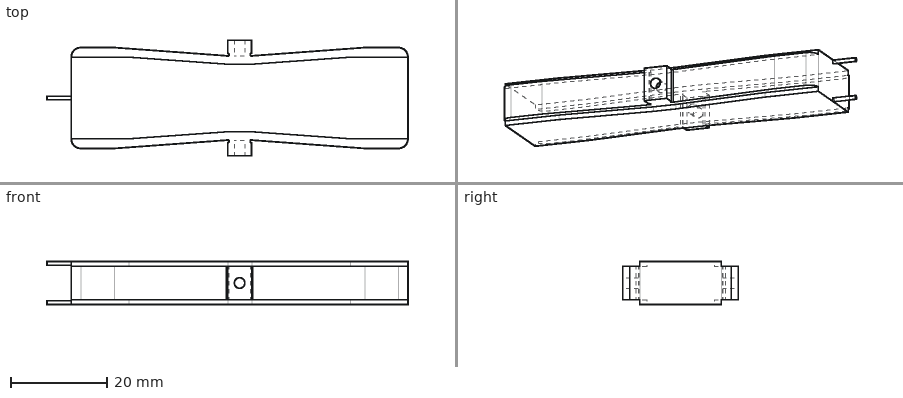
import cadquery as cq

total_length = 75.0
total_width = 24.0
total_height = 9.0

pin_length = 5.0
pin_diameter = 0.8

body_length = total_length - pin_length
body_width = 21.0
body_waist_width = 17.55
body_end_straight = 9.0
corner_radius = 2.0

plate_thickness = 1.0
plate_width = body_width - 2 * corner_radius
plate_waist_width = 14.0
plate_end_straight = 12.0
body_height = total_height - 2 * plate_thickness

lug_width = 5.0
lug_hole_diameter = 2.2
lug_hole_depth = (total_width - body_waist_width) / 2
relief_radius = 0.3
relief_center_y = body_waist_width / 2 + 0.2


def waisted_block(width, waist_width, end_straight, height):
    """Block centered on the origin, tapering to a flat waist as long as the lugs."""
    end_x = body_length / 2
    taper_x = end_x - end_straight
    waist_x = lug_width / 2
    upper_edge = [
        (-end_x, width / 2),
        (-taper_x, width / 2),
        (-waist_x, waist_width / 2),
        (waist_x, waist_width / 2),
        (taper_x, width / 2),
        (end_x, width / 2),
    ]
    lower_edge = [(x, -y) for x, y in reversed(upper_edge)]
    outline = cq.Workplane("XY").polyline(upper_edge + lower_edge).close()
    return outline.extrude(height / 2, both=True)


def make_body():
    body = waisted_block(body_width, body_waist_width, body_end_straight, body_height)
    return body.faces("<X or >X").edges("|Z").fillet(corner_radius)


def make_pin(z):
    return (
        cq.Workplane("YZ", origin=(-body_length / 2 - pin_length, 0, z))
        .circle(pin_diameter / 2)
        .extrude(pin_length)
    )


def lug_reliefs():
    centers = [(x, y) for x in (-lug_width / 2, lug_width / 2) for y in (-relief_center_y, relief_center_y)]
    return cq.Workplane("XY").pushPoints(centers).circle(relief_radius).extrude(body_height / 2, both=True)


def lug_hole(side):
    return (
        cq.Workplane("XZ", origin=(0, side * total_width / 2, 0))
        .circle(lug_hole_diameter / 2)
        .extrude(side * lug_hole_depth)
    )


result = make_body().union(cq.Workplane("XY").box(lug_width, total_width, body_height))
result = result.cut(lug_reliefs())
for side in (-1, 1):
    result = result.cut(lug_hole(side))

result = result.union(waisted_block(plate_width, plate_waist_width, plate_end_straight, total_height))

pin_z = (total_height - pin_diameter) / 2
for z in (-pin_z, pin_z):
    result = result.union(make_pin(z))